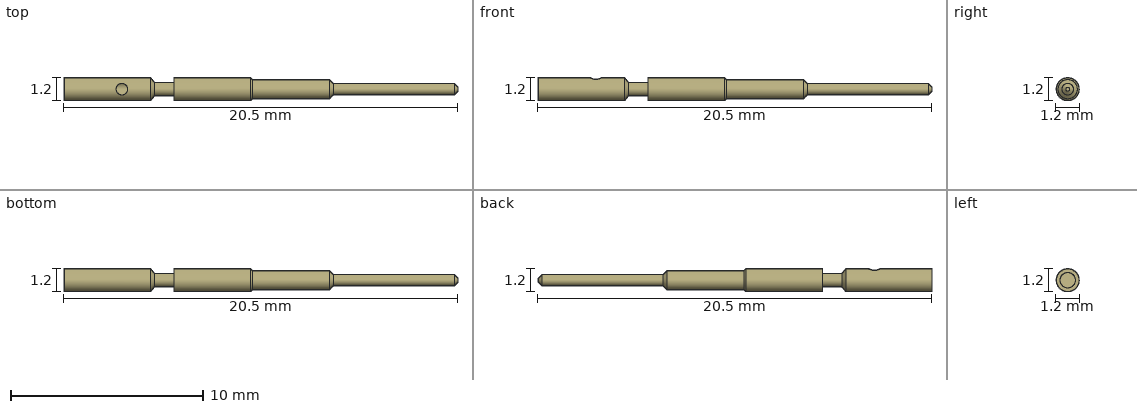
import cadquery as cq

barrel_diameter = 1.2
neck_diameter = 0.7
sleeve_diameter = 1.0
pin_diameter = 0.6
tip_diameter = 0.2

barrel_end = 4.5
collar_start = 5.7
collar_end = 9.7
pin_start = 14.0
overall_length = 20.5

barrel_taper = 0.2
collar_taper = (barrel_diameter - sleeve_diameter) / 2
sleeve_taper = (sleeve_diameter - pin_diameter) / 2
tip_taper = (pin_diameter - tip_diameter) / 2

bore_diameter = 0.8
bore_depth = 4.0
inspection_diameter = 0.6
inspection_position = 3.0


def make_body():
    """Revolve the stepped half-profile of the contact about the X axis."""
    barrel_radius = barrel_diameter / 2
    neck_radius = neck_diameter / 2
    sleeve_radius = sleeve_diameter / 2
    pin_radius = pin_diameter / 2
    half_profile = [
        (0, 0),
        (0, barrel_radius),
        (barrel_end, barrel_radius),
        (barrel_end + barrel_taper, neck_radius),
        (collar_start, neck_radius),
        (collar_start, barrel_radius),
        (collar_end, barrel_radius),
        (collar_end + collar_taper, sleeve_radius),
        (pin_start - sleeve_taper, sleeve_radius),
        (pin_start, pin_radius),
        (overall_length - tip_taper, pin_radius),
        (overall_length, tip_diameter / 2),
        (overall_length, 0),
    ]
    profile = cq.Workplane("XZ").polyline(half_profile).close()
    return profile.revolve(360, (0, 0, 0), (1, 0, 0))


def make_bore():
    """Flat-bottomed wire bore entering the barrel from its open end."""
    return cq.Workplane("YZ").circle(bore_diameter / 2).extrude(bore_depth)


def make_inspection_hole():
    """Radial hole through the upper barrel wall into the bore."""
    hole_axis = cq.Workplane("XY").center(inspection_position, 0)
    return hole_axis.circle(inspection_diameter / 2).extrude(barrel_diameter)


result = make_body().cut(make_bore()).cut(make_inspection_hole())